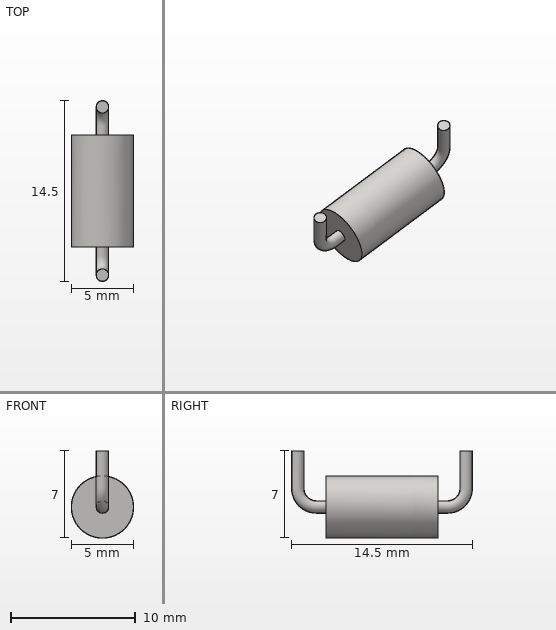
import cadquery as cq

overall_length = 14.5
overall_height = 7.0
body_diameter = 5.0
body_length = 9.0
band_length = 2.0
lead_diameter = 1.0
bend_radius = 1.5

lead_tip_z = overall_height - body_diameter / 2
lead_y = (overall_length - lead_diameter) / 2
bend_start_y = lead_y - bend_radius


def make_body():
    """Cylinder centred on the origin along Y, with the band as a flush section at its +Y end."""
    band_end = cq.Workplane("XZ", origin=(0, body_length / 2, 0))
    band = band_end.circle(body_diameter / 2).extrude(band_length)
    main = band.faces("<Y").workplane().circle(body_diameter / 2).extrude(
        body_length - band_length, combine=False
    )
    return band.union(main, clean=False)


def make_lead():
    """Lead on the +Y side, from the body centre out, round the bend and up."""
    path = (
        cq.Workplane("YZ")
        .lineTo(bend_start_y, 0)
        .tangentArcPoint((lead_y, bend_radius), relative=False)
        .lineTo(lead_y, lead_tip_z)
    )
    return cq.Workplane("XZ").circle(lead_diameter / 2).sweep(path)


lead = make_lead()
result = make_body().union(lead, clean=False).union(lead.mirror("XZ"), clean=False)